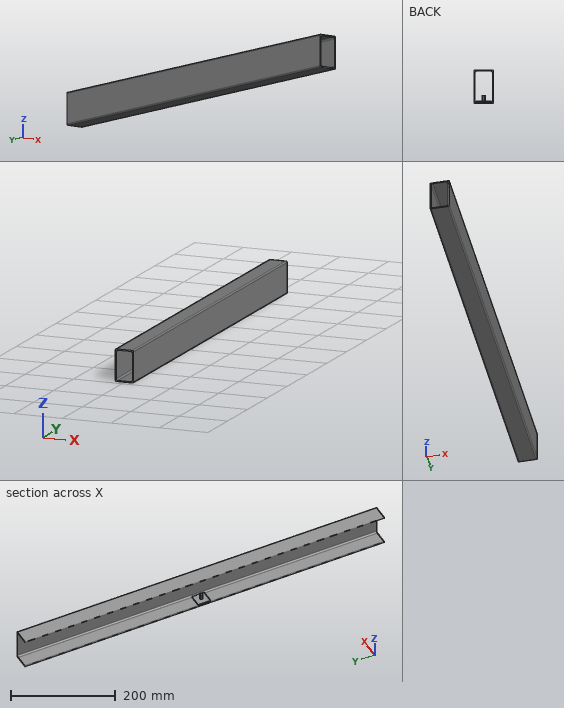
import cadquery as cq

TUBE_WIDTH = 38.0
TUBE_LENGTH = 775.0
TUBE_HEIGHT = 64.0
WALL = 2.5
OUTER_RADIUS = 2.6
INNER_RADIUS = 3.0
FLOOR_Z = -TUBE_HEIGHT / 2 + WALL

PLATE_WIDTH = TUBE_WIDTH - 2 * (WALL + INNER_RADIUS)
PLATE_THICKNESS = 2.0

STUD_SIDES = 6
STUD_ACROSS_CORNERS = 7.0
STUD_HEIGHT = 11.0


def rounded_bar(width, height, radius):
    """Solid bar along Y, centred on the origin, with its long edges rounded."""
    return cq.Workplane("XY").box(width, TUBE_LENGTH, height).edges("|Y").fillet(radius)


def make_tube():
    outside = rounded_bar(TUBE_WIDTH, TUBE_HEIGHT, OUTER_RADIUS)
    bore = rounded_bar(TUBE_WIDTH - 2 * WALL, TUBE_HEIGHT - 2 * WALL, INNER_RADIUS)
    return outside.cut(bore)


def make_plate():
    return (
        cq.Workplane("XY", origin=(0, 0, FLOOR_Z))
        .rect(PLATE_WIDTH, PLATE_WIDTH)
        .extrude(PLATE_THICKNESS)
    )


def make_stud():
    return (
        cq.Workplane("XY", origin=(0, 0, FLOOR_Z + PLATE_THICKNESS))
        .polygon(STUD_SIDES, STUD_ACROSS_CORNERS)
        .extrude(STUD_HEIGHT)
    )


tube = make_tube()
plate = make_plate()
stud = make_stud()

result = cq.Compound.makeCompound([tube.val(), plate.val(), stud.val()])